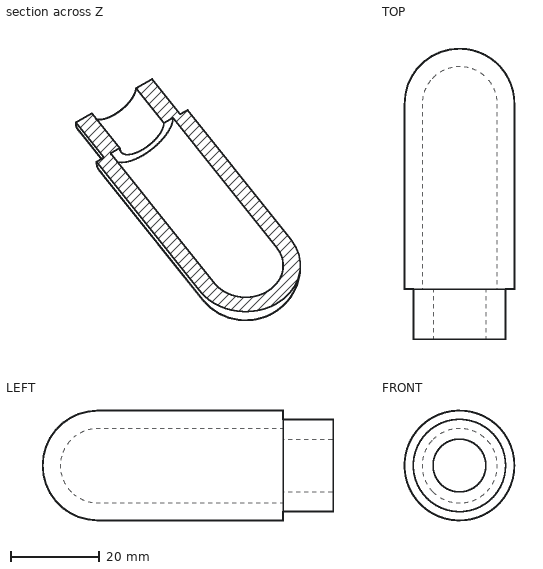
import cadquery as cq
import math

total_length = 66.0
neck_length = 11.4
body_radius = 25.0 / 2
neck_radius = 20.96 / 2

mouth_radius = 12.0 / 2
chamber_radius = 17.0 / 2
mouth_depth = neck_length

dome_center = total_length - body_radius


def arc_midpoint(radius):
    """Point halfway along the quarter arc that closes a dome of this radius."""
    offset = radius * math.sin(math.radians(45))
    return (offset, dome_center + offset)


def domed_profile(step_radius, step_length, main_radius):
    """Half section in the XY plane: a stepped cylinder ending in a hemisphere."""
    return (
        cq.Workplane("XY")
        .lineTo(step_radius, 0)
        .lineTo(step_radius, step_length)
        .lineTo(main_radius, step_length)
        .lineTo(main_radius, dome_center)
        .threePointArc(arc_midpoint(main_radius), (0, dome_center + main_radius))
        .close()
    )


def turned(profile):
    """Revolve a half section fully around the Y axis."""
    return profile.revolve(360, (0, 0, 0), (0, 1, 0))


shell = turned(domed_profile(neck_radius, neck_length, body_radius))
cavity = turned(domed_profile(mouth_radius, mouth_depth, chamber_radius))

result = shell.cut(cavity)